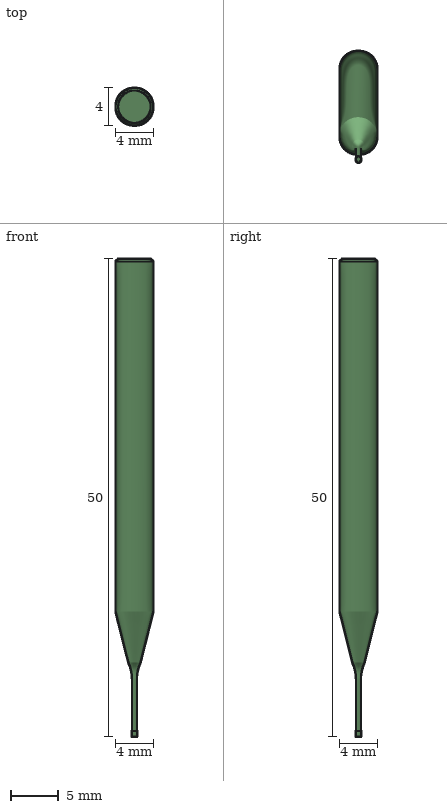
import cadquery as cq

total_length = 50.0
shank_radius = 2.0
top_chamfer_height = 0.3
top_chamfer_width = 0.3

tip_radius = 0.3
tip_length = 0.6
tip_corner_radius = 0.1

neck_radius = 0.275
neck_top = 6.05
flare_top = 7.75
flare_top_radius = 0.65
cone_top = 13.1


def make_holder():
    """Shank, cone, flared shoulder and neck, turned about Z."""
    return (
        cq.Workplane("XZ")
        .moveTo(0, tip_length)
        .lineTo(neck_radius, tip_length)
        .lineTo(neck_radius, neck_top)
        .tangentArcPoint((flare_top_radius, flare_top), relative=False)
        .lineTo(shank_radius, cone_top)
        .lineTo(shank_radius, total_length - top_chamfer_height)
        .lineTo(shank_radius - top_chamfer_width, total_length)
        .lineTo(0, total_length)
        .close()
        .revolve(360, (0, 0, 0), (0, 1, 0))
    )


def make_cutting_tip():
    """Short cylinder with a rounded lower edge, seated on the end of the neck."""
    return (
        cq.Workplane("XY")
        .circle(tip_radius)
        .extrude(tip_length)
        .faces("<Z")
        .edges()
        .fillet(tip_corner_radius)
    )


holder = make_holder()
cutting_tip = make_cutting_tip()
result = cq.Compound.makeCompound([holder.val(), cutting_tip.val()])